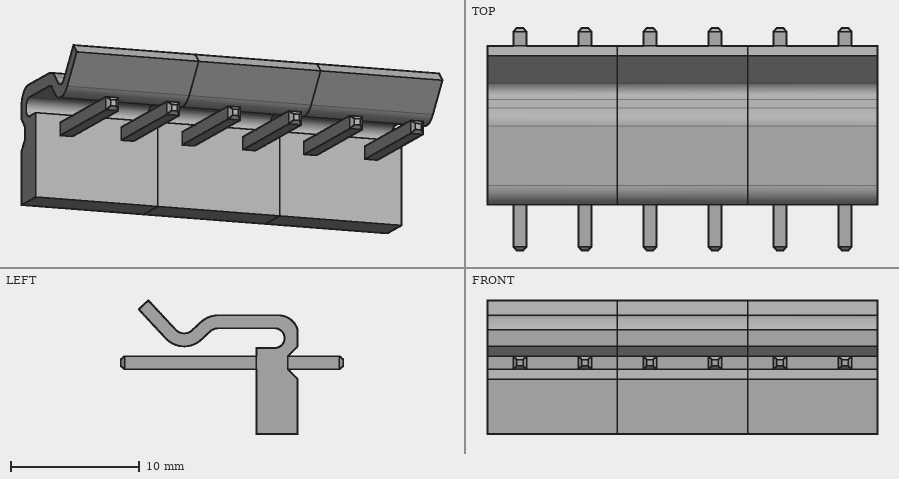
import cadquery as cq
import math

total_length = 30.48
module_count = 3
pins_per_module = 2
module_length = total_length / module_count
pin_pitch = module_length / pins_per_module

pin_side = 1.05
pin_height = 5.58
pin_front_reach = 3.57
pin_total_length = 17.4
pin_tip_length = 0.3
pin_tip_side = 0.5

base_depth = 3.23
base_height = 6.75

groove_depth = 0.75
groove_floor_bottom = pin_height - pin_side / 2
groove_floor_top = pin_height + pin_side / 2

strip_thickness = 1.05
bend_inner_radius = 0.75
front_round_radius = 1.6
front_round_run = 1.52
hump_start = 6.2
hump_radius = 2.05
valley_radius = 0.9
descent_angle = math.radians(43)
rise_angle = math.radians(47)
descent_length = 0.9
tip_top = 10.45

strip_bottom = base_height + 2 * bend_inner_radius
strip_top = strip_bottom + strip_thickness
bend_center = (strip_thickness + bend_inner_radius, base_height + bend_inner_radius)
front_round_drop = front_round_radius - math.sqrt(front_round_radius**2 - front_round_run**2)


def on_circle(center, radius, angle):
    """Point at the given angle from straight up, turning towards +Y."""
    return (center[0] + radius * math.sin(angle), center[1] + radius * math.cos(angle))


def along(point, distance, slope):
    """Point moved towards +Y along a line that climbs at the given slope."""
    return (point[0] + distance * math.cos(slope), point[1] + distance * math.sin(slope))


def housing_profile():
    """Closed YZ outline of the base and its latch strip."""
    hump_center = (hump_start, strip_top - hump_radius)
    hump_inner_radius = hump_radius - strip_thickness
    valley_outer_radius = valley_radius + strip_thickness

    hump_end = on_circle(hump_center, hump_radius, descent_angle)
    valley_start = along(hump_end, descent_length, -descent_angle)
    valley_center = on_circle(valley_start, valley_radius, descent_angle)

    valley_end = on_circle(valley_center, valley_radius, math.pi - rise_angle)
    tail_length = (tip_top - valley_end[1]) / math.sin(rise_angle)
    tip_upper = along(valley_end, tail_length, rise_angle)
    tip_lower = along(tip_upper, strip_thickness, rise_angle - math.pi / 2)

    return (
        cq.Workplane("YZ")
        .moveTo(0, 0)
        .lineTo(0, groove_floor_bottom - groove_depth)
        .lineTo(groove_depth, groove_floor_bottom)
        .lineTo(groove_depth, groove_floor_top)
        .lineTo(0, groove_floor_top + groove_depth)
        .lineTo(0, strip_top - front_round_drop)
        .radiusArc((front_round_run, strip_top), front_round_radius)
        .lineTo(hump_start, strip_top)
        .threePointArc(on_circle(hump_center, hump_radius, descent_angle / 2), hump_end)
        .lineTo(*valley_start)
        .threePointArc(on_circle(valley_center, valley_radius, math.pi), valley_end)
        .lineTo(*tip_upper)
        .lineTo(*tip_lower)
        .lineTo(*on_circle(valley_center, valley_outer_radius, math.pi - rise_angle))
        .threePointArc(
            on_circle(valley_center, valley_outer_radius, math.pi),
            on_circle(valley_center, valley_outer_radius, math.pi + descent_angle),
        )
        .lineTo(*on_circle(hump_center, hump_inner_radius, descent_angle))
        .threePointArc(
            on_circle(hump_center, hump_inner_radius, descent_angle / 2),
            (hump_start, strip_bottom),
        )
        .lineTo(bend_center[0], strip_bottom)
        .threePointArc((strip_thickness, bend_center[1]), (bend_center[0], base_height))
        .lineTo(base_depth, base_height)
        .lineTo(base_depth, 0)
        .close()
    )


def make_pin(x):
    """Square pin along Y, centred on x, with a tapered tip at each end."""

    def section(y):
        return cq.Workplane("XZ", origin=(x, y, pin_height))

    def tip(root_y, end_y):
        return (
            section(root_y)
            .rect(pin_side, pin_side)
            .workplane(offset=root_y - end_y)
            .rect(pin_tip_side, pin_tip_side)
            .loft(ruled=True)
        )

    front = -pin_front_reach
    back = front + pin_total_length
    shank_front = front + pin_tip_length
    shank_back = back - pin_tip_length
    shank = section(shank_back).rect(pin_side, pin_side).extrude(shank_back - shank_front)
    return shank.union(tip(shank_front, front)).union(tip(shank_back, back))


def make_module(left_x):
    """One header module: housing and its pins as a single solid."""
    module = housing_profile().extrude(module_length).translate((left_x, 0, 0))
    for i in range(pins_per_module):
        module = module.union(make_pin(left_x + (i + 0.5) * pin_pitch))
    return module


modules = [make_module(-total_length / 2 + i * module_length) for i in range(module_count)]

result = cq.Compound.makeCompound([module.val() for module in modules])